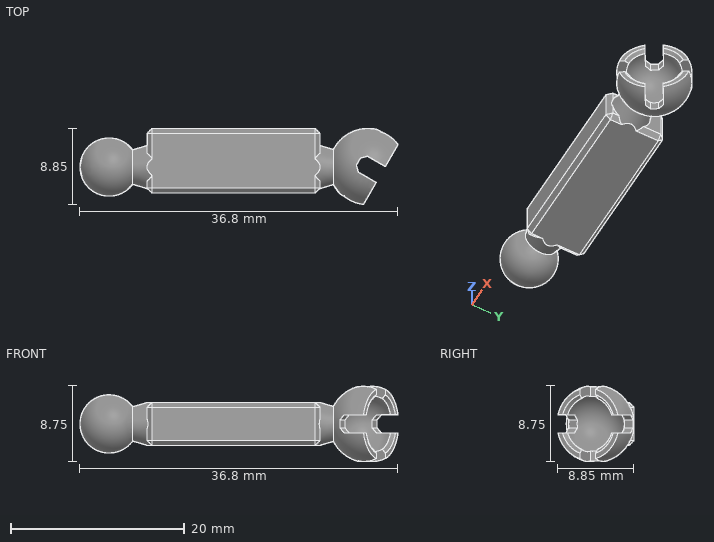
import cadquery as cq

BAR_LENGTH = 20.0
BAR_WIDTH = 7.5
BAR_THICKNESS = 5.0
BAR_CHAMFER = 0.6
BAR_OFFSET_Y = 0.75

BALL_RADIUS = 3.4
BALL_DISTANCE = 4.37

SOCKET_RADIUS = 4.5
SOCKET_DISTANCE = 5.5
SOCKET_TILT = 30
RIM_DISTANCE = 1.73
RIM_INNER_RADIUS = 3.53
SLOT_WIDTH = 2.1
SLOT_SETBACK = 1.25
SLOT_CHAMFER = 0.6

NECK_RADIUS = BAR_THICKNESS / 2
NECK_SLOPE = 0.3


def make_bar():
    bar = cq.Workplane("XY").box(BAR_LENGTH, BAR_WIDTH, BAR_THICKNESS).edges().chamfer(BAR_CHAMFER)
    return bar.translate((BAR_LENGTH / 2, BAR_OFFSET_Y, 0))


def make_neck(reach):
    """Cone from inside the bar to reach along -X, trimmed flush with the bar thickness."""
    inner_radius = NECK_RADIUS + NECK_SLOPE * BAR_CHAMFER
    outer_radius = NECK_RADIUS - NECK_SLOPE * reach
    profile = [(BAR_CHAMFER, 0), (BAR_CHAMFER, inner_radius), (-reach, outer_radius), (-reach, 0)]
    neck = cq.Workplane("XY").polyline(profile).close().revolve(360, (0, 0, 0), (1, 0, 0))
    slab_size = 4 * (reach + inner_radius)
    return neck.intersect(cq.Workplane("XY").box(slab_size, slab_size, BAR_THICKNESS))


def make_slot():
    """Slot through the socket along Z, open towards +X, with a chamfered end behind the centre."""
    length = 2 * SOCKET_RADIUS
    slot = cq.Workplane("XY").box(length, SLOT_WIDTH, length, centered=(False, True, True))
    return slot.edges("|Z and <X").chamfer(SLOT_CHAMFER).translate((-SLOT_SETBACK, 0, 0))


def make_lead_in():
    """45 degree countersink at the mouth of the socket."""
    apex = RIM_DISTANCE - RIM_INNER_RADIUS
    profile = [(apex, 0), (RIM_DISTANCE, RIM_INNER_RADIUS), (RIM_DISTANCE, 0)]
    return cq.Workplane("XY").polyline(profile).close().revolve(360, (0, 0, 0), (1, 0, 0))


def make_socket_cut():
    """Everything removed from the socket sphere, with the mouth facing +X."""
    mouth = cq.Workplane("XY").box(
        SOCKET_RADIUS, 3 * SOCKET_RADIUS, 3 * SOCKET_RADIUS, centered=(False, True, True)
    ).translate((RIM_DISTANCE, 0, 0))
    cut = cq.Workplane("XY").sphere(BALL_RADIUS).union(mouth).union(make_lead_in())
    for turn in (0, 90):
        cut = cut.union(make_slot().rotate((0, 0, 0), (1, 0, 0), turn))
    return cut


def place_socket(shape):
    tilted = shape.rotate((0, 0, 0), (0, 0, 1), -SOCKET_TILT)
    return tilted.translate((BAR_LENGTH + SOCKET_DISTANCE, 0, 0))


socket_neck_reach = SOCKET_DISTANCE - BALL_RADIUS
socket_neck = make_neck(socket_neck_reach).mirror("YZ").translate((BAR_LENGTH, 0, 0))
socket_sphere = place_socket(cq.Workplane("XY").sphere(SOCKET_RADIUS))
socket = socket_sphere.union(socket_neck).cut(place_socket(make_socket_cut()))

ball = cq.Workplane("XY").sphere(BALL_RADIUS).translate((-BALL_DISTANCE, 0, 0))
ball_neck = make_neck(BALL_DISTANCE - BALL_RADIUS / 2)

result = make_bar().union(ball_neck).union(ball).union(socket)